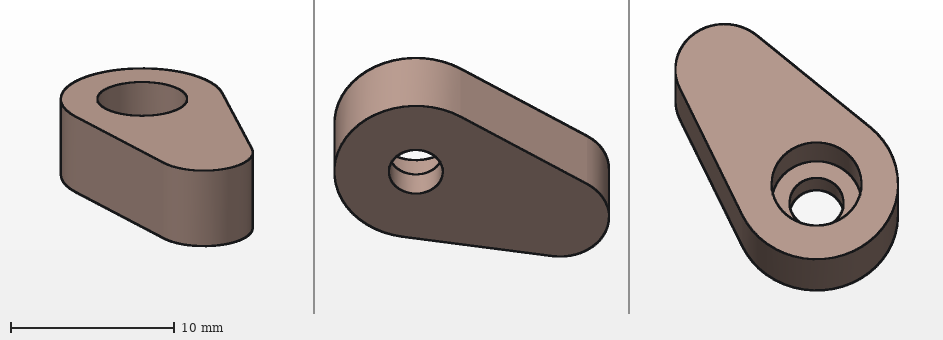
import cadquery as cq
import math

length = 17.48
thickness = 5.0
large_radius = 5.0
small_radius = 3.0
hole_diameter = 3.3
counterbore_diameter = 5.5
counterbore_depth = 3.0

center_distance = length - large_radius - small_radius

tangent_angle = math.acos((large_radius - small_radius) / center_distance)


def tangent_point(center_x, radius, side):
    """Point where a straight flank meets an end arc; side is +1 or -1 in Y."""
    return (
        center_x + radius * math.cos(tangent_angle),
        side * radius * math.sin(tangent_angle),
    )


body = (
    cq.Workplane("XY")
    .moveTo(*tangent_point(0, large_radius, 1))
    .threePointArc((-large_radius, 0), tangent_point(0, large_radius, -1))
    .lineTo(*tangent_point(center_distance, small_radius, -1))
    .threePointArc(
        (center_distance + small_radius, 0),
        tangent_point(center_distance, small_radius, 1),
    )
    .close()
    .extrude(thickness)
)

result = (
    body.faces(">Z")
    .workplane(origin=(0, 0, thickness))
    .cboreHole(hole_diameter, counterbore_diameter, counterbore_depth)
)